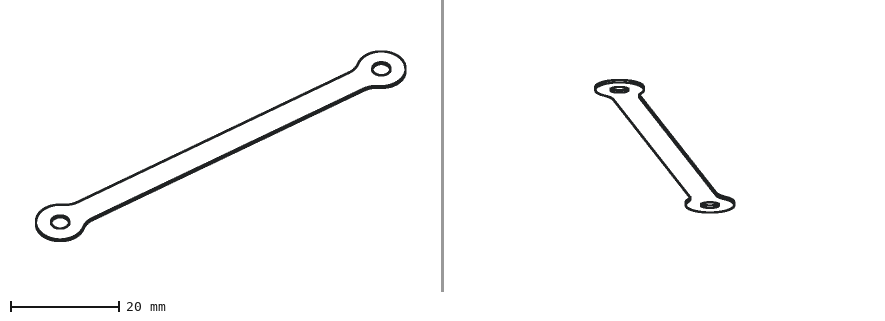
import cadquery as cq
import math

length = 80.25
thickness = 0.5
eye_diameter = 9.0
hole_diameter = 3.4
bar_width = 5.0
neck_radius = 4.0

eye_radius = eye_diameter / 2
half_bar = bar_width / 2
eye_offset = length / 2 - eye_radius

neck_center_x = half_bar + neck_radius
center_distance = eye_radius + neck_radius
neck_drop = math.sqrt(center_distance**2 - neck_center_x**2)
neck_start_y = eye_offset - neck_drop
eye_share = eye_radius / center_distance
eye_tangent_x = neck_center_x * eye_share
eye_tangent_y = eye_offset - neck_drop * eye_share

neck_mid_angle = math.atan2(neck_drop, neck_center_x) / 2
neck_mid_x = neck_center_x - neck_radius * math.cos(neck_mid_angle)
neck_mid_y = neck_start_y + neck_radius * math.sin(neck_mid_angle)


def link_plate():
    """Flat bar with a round eye at each end, blended by concave necks."""
    return (
        cq.Workplane("XY")
        .moveTo(half_bar, -neck_start_y)
        .lineTo(half_bar, neck_start_y)
        .threePointArc((neck_mid_x, neck_mid_y), (eye_tangent_x, eye_tangent_y))
        .threePointArc((0, length / 2), (-eye_tangent_x, eye_tangent_y))
        .threePointArc((-neck_mid_x, neck_mid_y), (-half_bar, neck_start_y))
        .lineTo(-half_bar, -neck_start_y)
        .threePointArc((-neck_mid_x, -neck_mid_y), (-eye_tangent_x, -eye_tangent_y))
        .threePointArc((0, -length / 2), (eye_tangent_x, -eye_tangent_y))
        .threePointArc((neck_mid_x, -neck_mid_y), (half_bar, -neck_start_y))
        .close()
        .extrude(thickness)
    )


def eye_holes():
    """Through-hole cutters, concentric with the eyes."""
    return (
        cq.Workplane("XY")
        .pushPoints([(0, -eye_offset), (0, eye_offset)])
        .circle(hole_diameter / 2)
        .extrude(thickness)
    )


result = link_plate().cut(eye_holes())